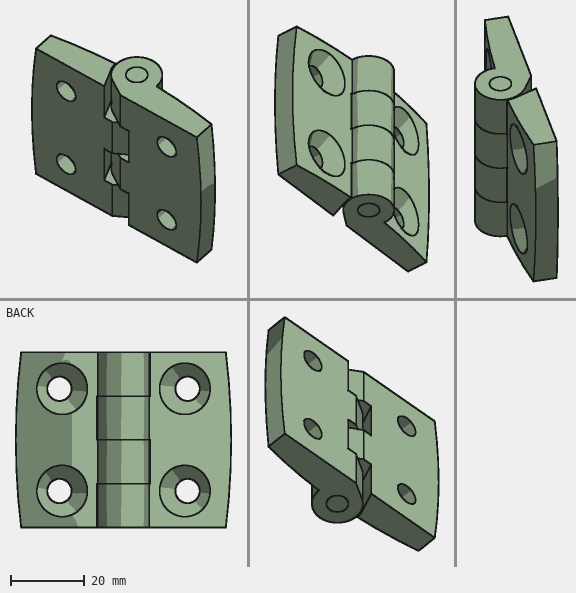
import cadquery as cq
import math

LENGTH = 59.0
HEIGHT = 48.0
HALF_LENGTH = LENGTH / 2
HALF_HEIGHT = HEIGHT / 2
CORNER_X = 28.0
CROWN_RADIUS = 159.95

KNUCKLE_RADIUS = 6.99
AXIS_Y = 9.0
PIN_DIAMETER = 6.0
KNUCKLE_COUNT = 4
KNUCKLE_HEIGHT = HEIGHT / KNUCKLE_COUNT
KNUCKLE_FOOT_X = 1.4

NOTCH_RADIUS = 7.3
NOTCH_FOOT_X = 4.25

HOLE_DIAMETER = 6.6
SINK_DIAMETER = 14.0
SINK_ANGLE = 90.0
HOLE_X = 17.5
HOLE_Z = 14.0


def crown_y(x):
    """Height of the convex back face at x; its apex is level with the hinge axis."""
    return AXIS_Y - CROWN_RADIUS + math.sqrt(CROWN_RADIUS**2 - x**2)


def tangent_point(foot_x, radius, side):
    """Point where the line from (foot_x, 0) touches a circle on the hinge axis, on the -X or +X side."""
    distance = math.hypot(foot_x, AXIS_Y)
    angle = math.atan2(-AXIS_Y, foot_x) + side * math.acos(radius / distance)
    return radius * math.cos(angle), AXIS_Y + radius * math.sin(angle)


def circle_point(point_a, point_b, radius):
    """Point of a hinge-axis circle halfway along the short arc between two of its points."""
    x = point_a[0] + point_b[0]
    y = point_a[1] + point_b[1] - 2 * AXIS_Y
    scale = radius / math.hypot(x, y)
    return x * scale, AXIS_Y + y * scale


def slab(profile, z_bottom):
    """Extrude an XY profile over one knuckle height, starting at z_bottom."""
    return profile.extrude(KNUCKLE_HEIGHT).translate((0, 0, z_bottom))


def knuckle_slab(z_bottom):
    """Leaf section that carries a knuckle."""
    touch = tangent_point(KNUCKLE_FOOT_X, KNUCKLE_RADIUS, -1)
    start_x = KNUCKLE_RADIUS
    middle_x = (start_x + HALF_LENGTH) / 2
    profile = (
        cq.Workplane("XY")
        .moveTo(KNUCKLE_FOOT_X, 0)
        .lineTo(HALF_LENGTH, 0)
        .lineTo(HALF_LENGTH, crown_y(HALF_LENGTH))
        .threePointArc((middle_x, crown_y(middle_x)), (start_x, crown_y(start_x)))
        .lineTo(start_x, AXIS_Y)
        .threePointArc((0, AXIS_Y + KNUCKLE_RADIUS), (-KNUCKLE_RADIUS, AXIS_Y))
        .threePointArc(circle_point((-KNUCKLE_RADIUS, AXIS_Y), touch, KNUCKLE_RADIUS), touch)
        .close()
    )
    return slab(profile, z_bottom)


def notch_slab(z_bottom):
    """Leaf section cut back around a knuckle of the other leaf."""
    touch = tangent_point(NOTCH_FOOT_X, NOTCH_RADIUS, 1)
    start = (NOTCH_RADIUS, AXIS_Y)
    middle_x = (NOTCH_RADIUS + HALF_LENGTH) / 2
    profile = (
        cq.Workplane("XY")
        .moveTo(NOTCH_FOOT_X, 0)
        .lineTo(HALF_LENGTH, 0)
        .lineTo(HALF_LENGTH, crown_y(HALF_LENGTH))
        .threePointArc((middle_x, crown_y(middle_x)), (NOTCH_RADIUS, crown_y(NOTCH_RADIUS)))
        .lineTo(*start)
        .threePointArc(circle_point(start, touch, NOTCH_RADIUS), touch)
        .close()
    )
    return slab(profile, z_bottom)


def bowed_envelope():
    """Block with the bowed outer edge that trims a leaf."""
    return (
        cq.Workplane("XZ")
        .moveTo(-HALF_LENGTH, -HALF_HEIGHT)
        .lineTo(CORNER_X, -HALF_HEIGHT)
        .threePointArc((HALF_LENGTH, 0), (CORNER_X, HALF_HEIGHT))
        .lineTo(-HALF_LENGTH, HALF_HEIGHT)
        .close()
        .extrude(-(AXIS_Y + KNUCKLE_RADIUS))
    )


def screw_hole(z):
    """Cutter for one countersunk hole; the countersink opens on the crowned face."""
    slope = math.tan(math.radians(SINK_ANGLE / 2))
    top_y = AXIS_Y
    top_radius = SINK_DIAMETER / 2 + (top_y - crown_y(HOLE_X)) * slope
    tip_y = top_y - top_radius / slope
    drill = cq.Workplane("XZ").center(HOLE_X, z).circle(HOLE_DIAMETER / 2).extrude(-top_y)
    cone = cq.Solid.makeCone(0, top_radius, top_y - tip_y, cq.Vector(HOLE_X, tip_y, z), cq.Vector(0, 1, 0))
    return drill.union(cq.Workplane(cone))


def pin():
    """Hinge pin, flush with both ends."""
    return cq.Workplane("XY", origin=(0, AXIS_Y, -HALF_HEIGHT)).circle(PIN_DIAMETER / 2).extrude(HEIGHT)


def leaf():
    """The +X leaf: notches and knuckles alternate upward, ending in a knuckle at the top."""
    body = notch_slab(-HALF_HEIGHT)
    for index in range(1, KNUCKLE_COUNT):
        z_bottom = -HALF_HEIGHT + index * KNUCKLE_HEIGHT
        section = knuckle_slab(z_bottom) if index % 2 else notch_slab(z_bottom)
        body = body.union(section)
    body = body.intersect(bowed_envelope())
    for z in (-HOLE_Z, HOLE_Z):
        body = body.cut(screw_hole(z))
    return body.cut(pin())


leaves = [leaf().rotate((0, 0, 0), (0, 1, 0), turn) for turn in (0, 180)]
hinge_pin = pin()

result = cq.Compound.makeCompound([*[body.val() for body in leaves], hinge_pin.val()])